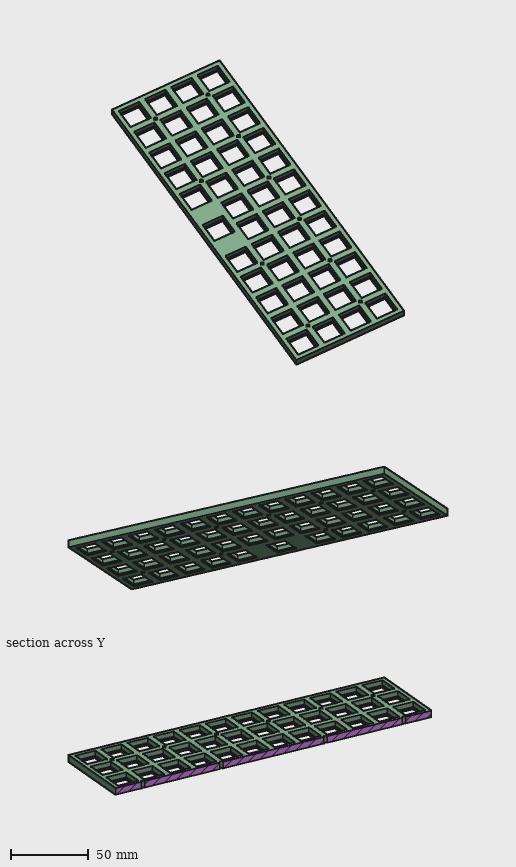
import cadquery as cq

length = 236.0
width = 80.0
thickness = 5.0

columns = 12
rows = 4
border = 1.01
pitch = (length - 2 * border) / columns
wide_key_columns = (5, 6)

rib_width = 4.5
ledge_width = 0.52
ledge_thickness = 1.5
pocket_side = pitch - rib_width
cutout_side = pocket_side - 2 * ledge_width
pocket_depth = thickness - ledge_thickness

hole_diameter = 2.2
upper_hole_columns = (0, 2, 4, 6, 8, 10)
lower_hole_columns = (0, 3, 7, 10)


def column_x(column):
    """X of a column's centre; half values lie on the ribs between columns."""
    return (column - (columns - 1) / 2) * pitch


def row_y(row):
    """Y of a row's centre, counted from the bottom row; half values lie on the ribs."""
    return (row - (rows - 1) / 2) * pitch


def switch_centers():
    centers = []
    for row in range(rows):
        for column in range(columns):
            under_wide_key = row == 0 and column in wide_key_columns
            if not under_wide_key:
                centers.append((column_x(column), row_y(row)))
    wide_key_x = sum(column_x(column) for column in wide_key_columns) / len(wide_key_columns)
    centers.append((wide_key_x, row_y(0)))
    return centers


def hole_centers():
    upper = [(column_x(column + 0.5), row_y(rows - 1.5)) for column in upper_hole_columns]
    lower = [(column_x(column + 0.5), row_y(0.5)) for column in lower_hole_columns]
    return upper + lower


def square_cutters(top, side, depth):
    """Square prisms at every switch, reaching down from the top face."""
    return top.pushPoints(switch_centers()).rect(side, side).extrude(-depth, combine=False)


def hole_cutters(top):
    return top.pushPoints(hole_centers()).circle(hole_diameter / 2).extrude(-thickness, combine=False)


plate = cq.Workplane("XY").box(length, width, thickness)
top_face = plate.faces(">Z").workplane()

pockets = square_cutters(top_face, pocket_side, pocket_depth)
cutouts = square_cutters(top_face, cutout_side, thickness)
holes = hole_cutters(top_face)

result = plate.cut(pockets).cut(cutouts).cut(holes)